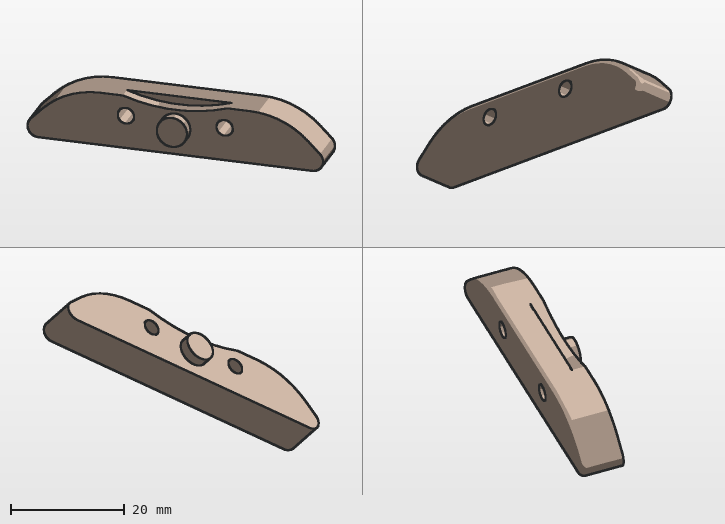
import cadquery as cq
import math

length = 54.35
height = 10.0
body_depth = 8.0
end_radius = 2.0
shoulder_radius = 15.0
slope_angle = math.radians(45)
back_fillet = 1.0

pin_diameter = 5.55
pin_length = 2.0
pin_height = height / 2

hole_diameter = 3.0
hole_spacing = 18.15
hole_height = 6.2

scoop_width = 19.2
scoop_drop = 1.5
scoop_depth = 2.5


def point_on_arc(center, radius, angle):
    """Point on a circle, with the angle in radians from +X."""
    return (center[0] + radius * math.cos(angle), center[1] + radius * math.sin(angle))


def mirrored(point):
    return (-point[0], point[1])


def front_plane(y):
    """XZ plane at the given Y; extrusion runs towards -Y."""
    return cq.Workplane("XZ", origin=(0, y, 0))


def make_body():
    normal_angle = math.pi / 2 - slope_angle
    end_center = (length / 2 - end_radius, end_radius)
    slope_bottom = point_on_arc(end_center, end_radius, normal_angle)
    end_middle = point_on_arc(end_center, end_radius, (normal_angle - math.pi / 2) / 2)

    shoulder_z = height - shoulder_radius
    slope_top_z = shoulder_z + shoulder_radius * math.sin(normal_angle)
    slope_top_x = slope_bottom[0] - (slope_top_z - slope_bottom[1]) / math.tan(slope_angle)
    slope_top = (slope_top_x, slope_top_z)
    shoulder_center = (slope_top_x - shoulder_radius * math.cos(normal_angle), shoulder_z)
    shoulder_middle = point_on_arc(
        shoulder_center, shoulder_radius, (normal_angle + math.pi / 2) / 2
    )
    base_end = (end_center[0], 0)
    top_end = (shoulder_center[0], height)

    return (
        front_plane(body_depth)
        .moveTo(*mirrored(base_end))
        .lineTo(*base_end)
        .threePointArc(end_middle, slope_bottom)
        .lineTo(*slope_top)
        .threePointArc(shoulder_middle, top_end)
        .lineTo(*mirrored(top_end))
        .threePointArc(mirrored(shoulder_middle), mirrored(slope_top))
        .lineTo(*mirrored(slope_bottom))
        .threePointArc(mirrored(end_middle), mirrored(base_end))
        .close()
        .extrude(body_depth)
        .faces(">Y")
        .edges()
        .fillet(back_fillet)
    )


def make_pin():
    return front_plane(0).center(0, pin_height).circle(pin_diameter / 2).extrude(pin_length)


def make_holes():
    return (
        front_plane(body_depth)
        .pushPoints([(side * hole_spacing / 2, hole_height) for side in (-1, 1)])
        .circle(hole_diameter / 2)
        .extrude(body_depth)
    )


def make_scoop():
    return (
        front_plane(scoop_depth)
        .moveTo(-scoop_width / 2, height)
        .threePointArc((0, height - scoop_drop), (scoop_width / 2, height))
        .close()
        .extrude(scoop_depth)
    )


result = make_body().cut(make_holes()).cut(make_scoop()).union(make_pin())